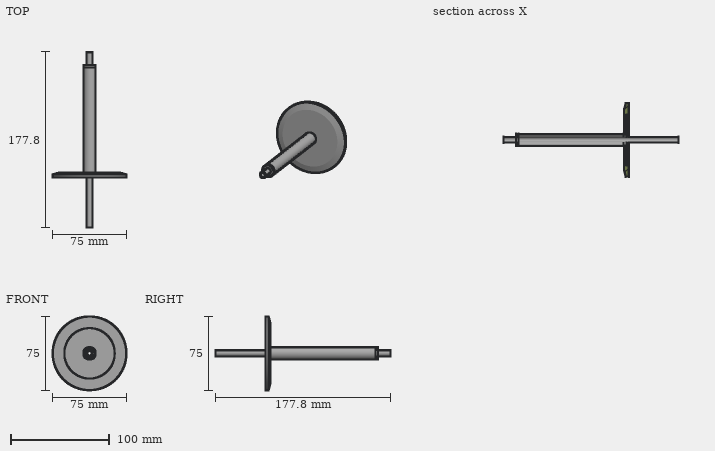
import cadquery as cq


flange_diameter = 75.0
flange_thickness = 5.2
rim_width = 3.2
back_face_diameter = 60.5
recess_diameter = 51.2
recess_depth = 2.5

outer_tube_diameter = 12.6
outer_tube_bore = 10.8

inner_tube_diameter = 6.4
inner_tube_bore = 4.8
inner_tube_length = 177.8
front_overhang = 50.7
rear_overhang = 13.0

cap_thickness = 2.3

inner_tube_end = inner_tube_length - front_overhang
cap_end = inner_tube_end - rear_overhang
cap_start = cap_end - cap_thickness


def make_ring(outer_diameter, bore_diameter, start, end):
    """Round sleeve along Y from start to end."""
    return (
        cq.Workplane("XZ", origin=(0, start, 0))
        .circle(outer_diameter / 2)
        .circle(bore_diameter / 2)
        .extrude(start - end)
    )


def make_flange():
    """Disc with a tapered back, a front recess and a hole for the outer tube."""
    half_section = [
        (outer_tube_diameter / 2, recess_depth),
        (recess_diameter / 2, recess_depth),
        (recess_diameter / 2, 0),
        (flange_diameter / 2, 0),
        (flange_diameter / 2, rim_width),
        (back_face_diameter / 2, flange_thickness),
        (outer_tube_diameter / 2, flange_thickness),
    ]
    return (
        cq.Workplane("XY")
        .polyline(half_section)
        .close()
        .revolve(360, (0, 0, 0), (0, 1, 0))
    )


flange = make_flange()
outer_tube = make_ring(outer_tube_diameter, outer_tube_bore, recess_depth, cap_start)
end_cap = make_ring(outer_tube_diameter, inner_tube_diameter, cap_start, cap_end)
inner_tube = make_ring(inner_tube_diameter, inner_tube_bore, -front_overhang, inner_tube_end)

result = cq.Compound.makeCompound(
    [flange.val(), outer_tube.val(), end_cap.val(), inner_tube.val()]
)